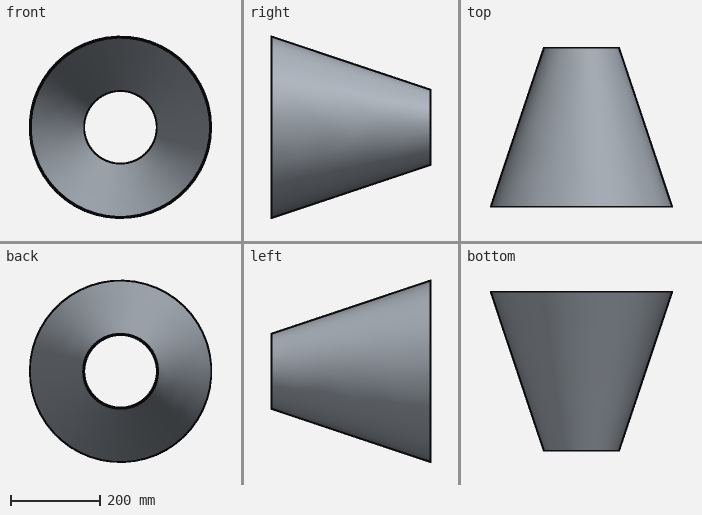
import cadquery as cq

large_diameter = 406.5
small_diameter = 168.2
length = 356.0
radial_wall = 3.15

large_radius = large_diameter / 2
small_radius = small_diameter / 2
front_y = -length / 2
back_y = length / 2

wall_section = (
    cq.Workplane("XY")
    .moveTo(large_radius - radial_wall, front_y)
    .lineTo(large_radius, front_y)
    .lineTo(small_radius, back_y)
    .lineTo(small_radius - radial_wall, back_y)
    .close()
)

result = wall_section.revolve(360, (0, 0, 0), (0, 1, 0))